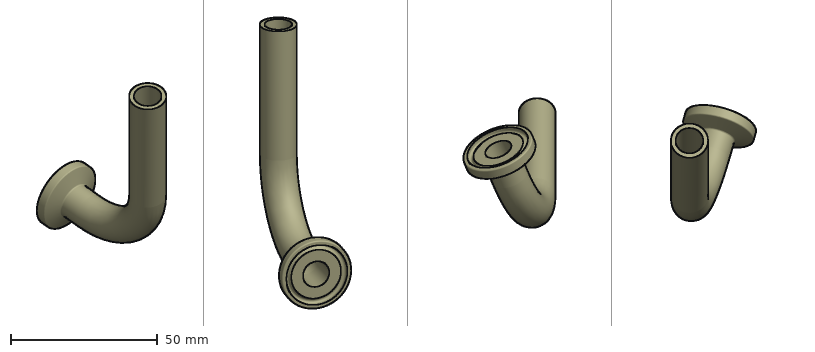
import cadquery as cq
import math

tube_diameter = 12.7
bore_diameter = 9.4
bend_radius = 28.6
bend_start = 12.7
overall_height = 88.7

flange_diameter = 25.0
rim_thickness = 3.7
cone_angle = 20.0
edge_fillet = 0.5

face_recess = 0.8
groove_diameter = 21.9
groove_wall_depth = 1.15
groove_bottom_radius = 0.77
flank_angle = 38.0

tube_radius = tube_diameter / 2
bore_radius = bore_diameter / 2
flange_radius = flange_diameter / 2
cone_length = (flange_radius - tube_radius) * math.tan(math.radians(cone_angle))
cone_end = rim_thickness + cone_length
leg_length = overall_height - flange_radius - bend_radius


def revolve_about_x(profile):
    """Turn a profile drawn in the XZ plane about the X axis."""
    return profile.revolve(360, (0, 0, 0), (1, 0, 0))


def curved_rod(radius):
    """Solid rod along the tube centreline, from the clamp face to the open end."""
    path = (
        cq.Workplane("XZ")
        .lineTo(bend_start, 0)
        .radiusArc((bend_start + bend_radius, bend_radius), -bend_radius)
        .line(0, leg_length)
    )
    return cq.Workplane("YZ").circle(radius).sweep(path)


def ferrule():
    """Clamp flange with a conical back and the short stub of tube behind it."""
    blank = revolve_about_x(
        cq.Workplane("XZ")
        .lineTo(0, flange_radius)
        .lineTo(rim_thickness, flange_radius)
        .lineTo(cone_end, tube_radius)
        .lineTo(bend_start, tube_radius)
        .lineTo(bend_start, 0)
        .close()
    )
    return blank.edges("%CIRCLE").edges("not >X").fillet(edge_fillet)


def face_cutter():
    """Recess in the clamp face together with the deeper gasket groove at its rim."""
    groove_radius = groove_diameter / 2
    flank = math.radians(flank_angle)
    arc_centre_radius = groove_radius - groove_bottom_radius

    flank_foot_depth = groove_wall_depth + groove_bottom_radius * math.sin(flank)
    flank_foot_radius = arc_centre_radius - groove_bottom_radius * math.cos(flank)
    flank_top_radius = flank_foot_radius - (flank_foot_depth - face_recess) * math.tan(flank)

    return revolve_about_x(
        cq.Workplane("XZ")
        .lineTo(0, groove_radius)
        .lineTo(groove_wall_depth, groove_radius)
        .tangentArcPoint((flank_foot_depth, flank_foot_radius), relative=False)
        .lineTo(face_recess, flank_top_radius)
        .lineTo(face_recess, 0)
        .close()
    )


result = (
    ferrule()
    .union(curved_rod(tube_radius))
    .cut(curved_rod(bore_radius))
    .cut(face_cutter())
)